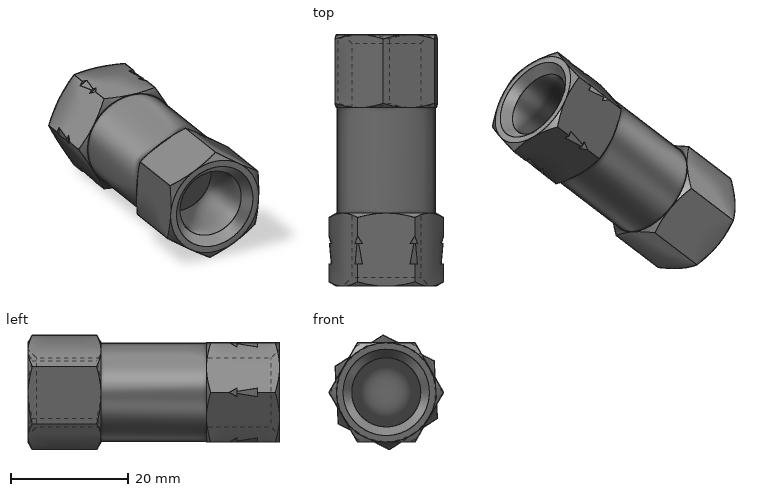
import cadquery as cq
import math

total_length = 43.0
barrel_diameter = 16.8

side_count = 6
corner_angle = 360 / side_count
across_flats = 17.0
hex_length = 12.5
rear_hex_twist = -33.2
hex_chamfer_angle = 30.0
corner_radius = across_flats / 2 / math.cos(math.radians(corner_angle / 2))

bore_diameter = 11.8
mouth_diameter = 14.75
mouth_depth = 1.5
bore_depth = hex_length

arrow_tail = 3.8
arrow_head_base = 7.3
arrow_tip = 8.6
notch_depth = 0.42
neck_depth = 0.1
notch_width = 4.0
notch_overshoot = 1.0

half_length = total_length / 2


def make_hex_end(start, twist):
    """Hexagon from Y = start towards +Y, with its corners turned off at both ends."""
    prism = (
        cq.Workplane("XZ", origin=(0, start, 0))
        .polygon(side_count, 2 * corner_radius)
        .extrude(-hex_length)
        .rotate((0, 0, 0), (0, 1, 0), twist)
    )
    face_radius = across_flats / 2
    chamfer_length = (corner_radius - face_radius) * math.tan(math.radians(hex_chamfer_angle))
    end = start + hex_length
    turned_envelope = (
        cq.Workplane("XY")
        .moveTo(0, start)
        .lineTo(face_radius, start)
        .lineTo(corner_radius, start + chamfer_length)
        .lineTo(corner_radius, end - chamfer_length)
        .lineTo(face_radius, end)
        .lineTo(0, end)
        .close()
        .revolve(360, (0, 0, 0), (0, 1, 0))
    )
    return prism.intersect(turned_envelope)


def make_barrel():
    """Round middle section joining the two hexagons."""
    barrel_length = total_length - 2 * hex_length
    return (
        cq.Workplane("XZ", origin=(0, -barrel_length / 2, 0))
        .circle(barrel_diameter / 2)
        .extrude(-barrel_length)
    )


def make_front_socket():
    """Cutter for the blind bore and conical mouth in the front end."""
    front = -half_length
    return (
        cq.Workplane("XY")
        .moveTo(0, front)
        .lineTo(mouth_diameter / 2, front)
        .lineTo(bore_diameter / 2, front + mouth_depth)
        .lineTo(bore_diameter / 2, front + bore_depth)
        .lineTo(0, front + bore_depth)
        .close()
        .revolve(360, (0, 0, 0), (0, 1, 0))
    )


def make_arrow_cutter():
    """Cutter for one arrow on the +X corner: two sloping floors, for shaft and head."""
    tail = arrow_tail - half_length
    head_base = arrow_head_base - half_length
    tip = arrow_tip - half_length
    outside = corner_radius + notch_overshoot
    return (
        cq.Workplane("XY")
        .moveTo(outside, tail)
        .lineTo(corner_radius - notch_depth, tail)
        .lineTo(corner_radius - neck_depth, head_base)
        .lineTo(corner_radius - notch_depth, head_base)
        .lineTo(corner_radius, tip)
        .lineTo(outside, tip)
        .close()
        .extrude(notch_width / 2, both=True)
    )


front_hex = make_hex_end(-half_length, 0)
rear_hex = make_hex_end(half_length - hex_length, rear_hex_twist)
result = make_barrel().union(front_hex).union(rear_hex)

front_socket = make_front_socket()
result = result.cut(front_socket).cut(front_socket.mirror("XZ"))

arrow_cutter = make_arrow_cutter()
for corner in range(side_count):
    result = result.cut(arrow_cutter.rotate((0, 0, 0), (0, 1, 0), corner_angle * corner))